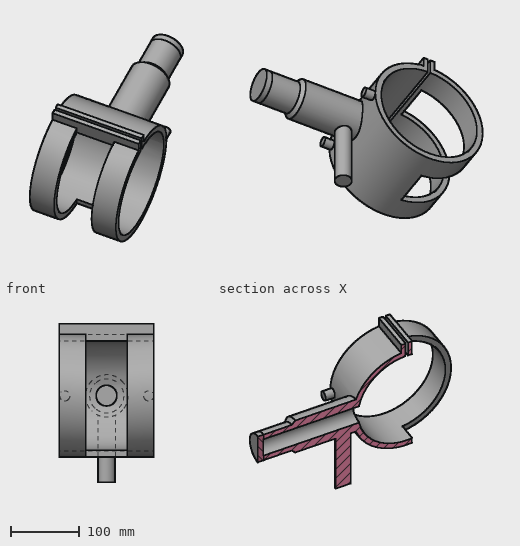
import cadquery as cq

CLAMP_WIDTH = 138.0
RING_OUTER_RADIUS = 90.0
RING_WALL = 9.8
RING_INNER_RADIUS = RING_OUTER_RADIUS - RING_WALL

LUG_TOP = 105.0
LUG_THICKNESS = 7.0
SPLIT_GAP = 4.0
LUG_SPAN = SPLIT_GAP + 2 * LUG_THICKNESS

WINDOW_WIDTH = 60.0

BARREL_RADIUS = 31.0
NECK_RADIUS = 25.0
BORE_RADIUS = 15.0
OVERALL_LENGTH = 336.7
SPIGOT_END = OVERALL_LENGTH - RING_OUTER_RADIUS
NECK_LENGTH = 56.0
TAPER_LENGTH = BARREL_RADIUS - NECK_RADIUS
CAP_THICKNESS = 9.5
CAP_START = SPIGOT_END - CAP_THICKNESS
NECK_START = SPIGOT_END - NECK_LENGTH
BARREL_END = NECK_START - TAPER_LENGTH

BRANCH_RADIUS = 12.63
BRANCH_Y = 105.0
BRANCH_BOTTOM = -126.5

PEG_RADIUS = 7.5
PEG_END = 105.0
PEG_X = 61.3


def cylinder_along_x(radius, length):
    return cq.Workplane("YZ").circle(radius).extrude(length / 2, both=True)


def cylinder_along_y(radius, start, end, x=0):
    plane = cq.Plane(origin=(x, start, 0), xDir=(1, 0, 0), normal=(0, 1, 0))
    return cq.Workplane(plane).circle(radius).extrude(end - start)


def make_spigot():
    """Barrel, 45 degree shoulder and neck, revolved about Y from the ring axis."""
    profile = [
        (0, 0),
        (BARREL_RADIUS, 0),
        (BARREL_RADIUS, BARREL_END),
        (NECK_RADIUS, NECK_START),
        (NECK_RADIUS, CAP_START),
        (0, CAP_START),
    ]
    return cq.Workplane("XY").polyline(profile).close().revolve(360, (0, 0), (0, 1))


def make_branch():
    return (
        cq.Workplane("XY", origin=(0, BRANCH_Y, BRANCH_BOTTOM))
        .circle(BRANCH_RADIUS)
        .extrude(-BRANCH_BOTTOM)
    )


def make_lug_block():
    return cq.Workplane("XY").box(CLAMP_WIDTH, LUG_SPAN, LUG_TOP, centered=(True, True, False))


def make_window():
    return (
        cq.Workplane("XY", origin=(0, -LUG_SPAN / 2, 0))
        .box(WINDOW_WIDTH, RING_OUTER_RADIUS, 2 * LUG_TOP, centered=(True, False, True))
        .translate((0, -RING_OUTER_RADIUS, 0))
    )


def make_housing():
    """Clamp ring with lugs, spigot, branch and pegs, bored through up to the cap."""
    housing = cylinder_along_x(RING_OUTER_RADIUS, CLAMP_WIDTH)
    housing = housing.union(make_lug_block()).union(make_spigot()).union(make_branch())
    for x in (-PEG_X, PEG_X):
        housing = housing.union(cylinder_along_y(PEG_RADIUS, 0, PEG_END, x))

    split = cq.Workplane("XY").box(CLAMP_WIDTH, SPLIT_GAP, LUG_TOP, centered=(True, True, False))
    housing = housing.cut(cylinder_along_x(RING_INNER_RADIUS, CLAMP_WIDTH))
    housing = housing.cut(split).cut(make_window())
    return housing.cut(cylinder_along_y(BORE_RADIUS, 0, CAP_START))


def make_cap():
    """Flat disc closing the end of the neck."""
    return cylinder_along_y(NECK_RADIUS, CAP_START, SPIGOT_END)


housing = make_housing()
cap = make_cap()

result = cq.Compound.makeCompound([housing.solids().val(), cap.val()])